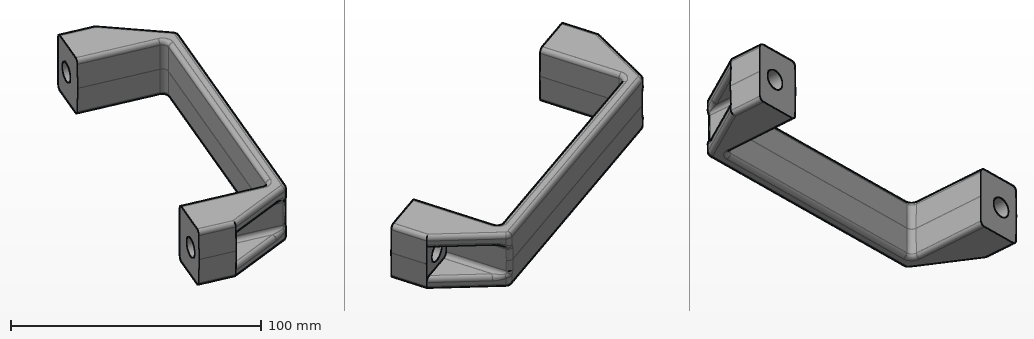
import cadquery as cq
import math

length = 150.0
reach = 45.0
width = 27.0

foot_height = 16.0
foot_width = 21.0
grip_thickness = 7.0
slope_angle = 60.0
outer_corner_radius = 3.0
inner_corner_radius = 2.5

draft_angle = 1.0
edge_radius = 2.0

hole_spacing = 132.0
hole_diameter = 8.7
pocket_width = 15.0
pocket_floor_x = 58.0
pocket_radius = 2.0

half_length = length / 2
half_width = width / 2
half_pocket = pocket_width / 2
slope = math.radians(slope_angle)
shoulder_x = half_length - (reach - foot_height) / math.tan(slope)
inner_x = half_length - foot_width
inner_y = reach - grip_thickness

overrun = 10.0


def make_outline():
    """Closed outline of the bow, with feet that run past the mounting plane Y = 0."""
    corner_tangent = outer_corner_radius * math.tan(slope / 2)
    back_x = shoulder_x - corner_tangent
    flank_x = shoulder_x + corner_tangent * math.cos(slope)
    flank_y = reach - corner_tangent * math.sin(slope)
    inner_round_x = inner_x - inner_corner_radius
    inner_round_y = inner_y - inner_corner_radius
    return (
        cq.Workplane("XY")
        .moveTo(-half_length, -overrun)
        .lineTo(-half_length, foot_height)
        .lineTo(-flank_x, flank_y)
        .radiusArc((-back_x, reach), outer_corner_radius)
        .lineTo(back_x, reach)
        .radiusArc((flank_x, flank_y), outer_corner_radius)
        .lineTo(half_length, foot_height)
        .lineTo(half_length, -overrun)
        .lineTo(inner_x, -overrun)
        .lineTo(inner_x, inner_round_y)
        .radiusArc((inner_round_x, inner_y), -inner_corner_radius)
        .lineTo(-inner_round_x, inner_y)
        .radiusArc((-inner_x, inner_round_y), -inner_corner_radius)
        .lineTo(-inner_x, -overrun)
        .close()
    )


def make_half_bow(direction):
    """Drafted and edge-rounded half on the +Z (1) or -Z (-1) side of the parting plane."""
    half = make_outline().extrude(direction * half_width, taper=draft_angle)
    end_face = ">Z" if direction > 0 else "<Z"
    return half.faces(end_face).edges().fillet(edge_radius)


def make_bow():
    """Both halves joined, with the feet trimmed to sharp, undrafted mounting faces."""
    bow = make_half_bow(1).union(make_half_bow(-1), clean=False)
    trim = (
        cq.Workplane("XY")
        .box(length + 2 * overrun, 2 * overrun, width + 2 * overrun)
        .translate((0, -overrun, 0))
    )
    return bow.cut(trim, clean=False)


def cut_pocket(body, side):
    """Open the flank on one side (-1 or 1) down to a seat level with the top of the foot."""
    floor_x = side * pocket_floor_x
    outer_x = side * (half_length + overrun)
    pocket = (
        cq.Workplane("XY")
        .moveTo(outer_x, foot_height)
        .lineTo(floor_x, foot_height)
        .lineTo(floor_x, reach + overrun)
        .lineTo(outer_x, reach + overrun)
        .close()
        .extrude(half_pocket, both=True)
    )
    floor_face = "<X" if side > 0 else ">X"
    pocket = pocket.faces(floor_face).edges("|Y").fillet(pocket_radius)
    return body.cut(pocket, clean=False)


def round_pocket_mouth(body, side):
    """Round the rim of a pocket, along both flank edges and over the top of its floor."""
    flank_x = side * (half_length + shoulder_x) / 2
    flank_y = (foot_height + reach) / 2
    upper_edge = cq.selectors.NearestToPointSelector((flank_x, flank_y, half_pocket))
    lower_edge = cq.selectors.NearestToPointSelector((flank_x, flank_y, -half_pocket))
    return body.edges(upper_edge + lower_edge).fillet(pocket_radius)


def cut_hole(body, side):
    """Drill the screw hole from the mounting face through to the pocket."""
    hole = (
        cq.Workplane("XZ")
        .center(side * hole_spacing / 2, 0)
        .circle(hole_diameter / 2)
        .extrude(-reach)
    )
    return body.cut(hole, clean=False)


result = make_bow()
for side in (-1, 1):
    result = cut_pocket(result, side)
    result = round_pocket_mouth(result, side)
    result = cut_hole(result, side)